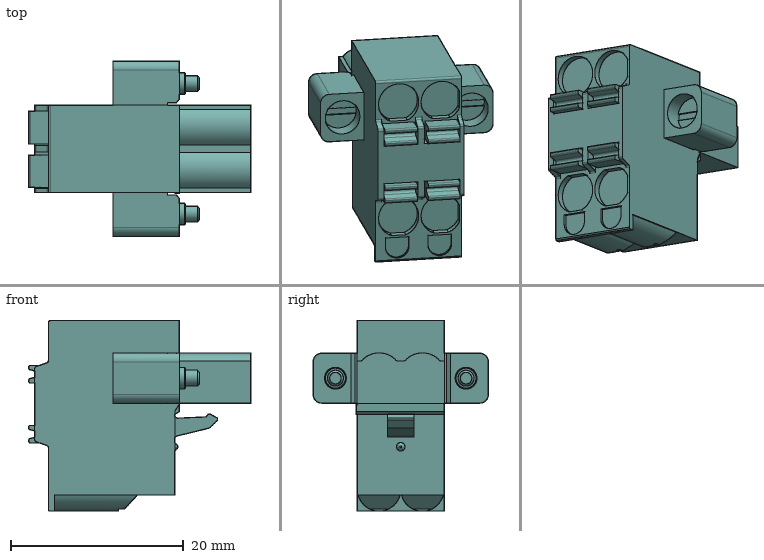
import cadquery as cq


HALF_WIDTH = 5.07
HEIGHT = 22.1
FACE_X = 2.26
NOSE_X = 0.7
BACK_X = 17.45
LOWER_BACK_X = 16.92
UNDERSIDE_Z = 1.85
FOOT_PLATE_X = 3.0
TOP_EDGE_RADIUS = 0.25
BOTTOM_BEVEL_HEIGHT = 0.18
BOTTOM_BEVEL_RUN = 0.08
POLE_PITCH = 5.02
POLES_Y = (POLE_PITCH / 2, -POLE_PITCH / 2)

NOSE_MID_Z = 12.4
NOSE_BASE_HALF_HEIGHT = 4.85
NOSE_FRONT_HALF_HEIGHT = 4.3
NOSE_EDGE_RADIUS = 0.25
LEVER_HEIGHT = 2.05
LEVER_OUTER = 4.5
LEVER_SLOT_CLEARANCE = 0.13
LEVER_GROOVE_X = 1.29
PRONG_TIP_RADIUS = 0.18
PRONG_ROOT = 0.75
PRONG_TIP = 0.5
LEVER_Y_RANGES = ((0.55, 4.37), (-4.48, -0.72))
SLOT_Y_RANGES = ((0.39, 4.37), (-4.58, -0.39))

ENTRY_RADIUS = 2.37
ENTRY_DEPTH = 0.93
ENTRY_SHIFT_Y = -0.15
ENTRY_LIMIT_Y = -4.8
UPPER_ENTRY_Z = 19.3
UPPER_ENTRY_FLAT_Z = 17.15
LOWER_ENTRY_Z = 5.38
LOWER_ENTRY_FLATS_Z = (3.16, 7.5)
TEST_RADIUS = 1.4
TEST_TOP_Z = 2.9
TEST_BOTTOM_Z = 0.39
TEST_DEPTH = 0.39

LOBE_RADIUS = POLE_PITCH / 2
LOBE_END_X = 12.58
LOBE_STEP_X = 11.05
LOBE_BOTTOM_X = 10.42
LOBE_STEP_Z = 0.23

PLUG_END_X = 25.72
PLUG_BOTTOM_Z = 12.5
PLUG_SHOULDER_Z = 17.39
PLUG_TOP_Z = 18.35
PLUG_LOBE_HALF_WIDTH = 2.05

FLANGE_X = 9.75
FLANGE_OUTER_Y = 10.15
FLANGE_TOP_Z = 18.3
FLANGE_CORNER_RADIUS = 1.03
FLANGE_GAP_X = 16.08
FLANGE_GAP_Y = 5.32
FLANGE_CHAMFER_X = 17.1
FLANGE_CHAMFER_Y = 5.74

SCREW_Y = 7.55
SCREW_Z = (PLUG_BOTTOM_Z + FLANGE_TOP_Z) / 2
SCREW_HEAD_RADIUS = 2.03
SCREW_HEAD_DEPTH = 2.25
DRIVER_SLOT_WIDTH = 0.77
DRIVER_SLOT_DEPTH = 0.25
COLLAR_RADIUS = 1.25
COLLAR_END_X = 18.13
COLLAR_CHAMFER = 0.1
SHANK_RADIUS = 0.93
SHANK_END_X = 19.78
SHANK_CHAMFER = 0.25

STEP_LOW_Z = 11.21
STEP_HIGH_Z = 11.52
PAD_BACK_Z = 11.57
PAD_TOP_Z = 12.37
PAD_THICKNESS = 0.1
LATCH_WIDTH = 3.09
LATCH_TOP_Z = 10.93
LATCH_ROOT_Z = 8.56
LATCH_ROOT_FLARE = 0.28
LATCH_HOOK_X = 20.78
LATCH_HOOK_Z = 11.25
LATCH_HOOK_RAMP = 0.25
LATCH_HOOK_FLAT = 0.28
LATCH_TIP_X = 21.9
LATCH_TIP_Z = 10.78
LATCH_TIP_HEIGHT = 0.23
LATCH_KNEE_X = 20.94
LATCH_KNEE_Z = 9.62
KNOB_Z = 7.45
KNOB_RADIUS = 0.5
KNOB_TIP_RADIUS = 0.1
KNOB_HEIGHT = 0.35


def box(x_range, y_range, z_range):
    size = [high - low for low, high in (x_range, y_range, z_range)]
    corner = (x_range[0], y_range[0], z_range[0])
    return cq.Workplane("XY").box(*size, centered=False).translate(corner)


def side_prism(points, y_range):
    """Extrude a closed XZ outline across a range of Y."""
    low, high = y_range
    return cq.Workplane("XZ", origin=(0, high, 0)).polyline(points).close().extrude(high - low)


def x_cylinder(radius, x_range, y, z):
    start, end = x_range
    return cq.Workplane("YZ", origin=(start, y, z)).circle(radius).extrude(end - start)


def cross_edge(x, z):
    """Select the edge that runs along Y through (x, z)."""
    margin = 0.013
    low_corner = (x - margin, -margin, z - margin)
    high_corner = (x + margin, margin, z + margin)
    return cq.selectors.BoxSelector(low_corner, high_corner)


def make_housing():
    upper_nose = [
        (FACE_X, NOSE_MID_Z + NOSE_BASE_HALF_HEIGHT),
        (NOSE_X, NOSE_MID_Z + NOSE_FRONT_HALF_HEIGHT),
    ]
    lower_nose = [(x, 2 * NOSE_MID_Z - z) for x, z in reversed(upper_nose)]
    outline = [
        (FACE_X, HEIGHT),
        *upper_nose,
        *lower_nose,
        (FACE_X, BOTTOM_BEVEL_HEIGHT),
        (FACE_X + BOTTOM_BEVEL_RUN, 0),
        (FOOT_PLATE_X, 0),
        (FOOT_PLATE_X, UNDERSIDE_Z),
        (LOWER_BACK_X, UNDERSIDE_Z),
        (LOWER_BACK_X, STEP_LOW_Z),
        (BACK_X, STEP_HIGH_Z),
        (BACK_X, HEIGHT),
    ]
    return (
        side_prism(outline, (-HALF_WIDTH, HALF_WIDTH))
        .edges(cross_edge(FACE_X, HEIGHT))
        .fillet(TOP_EDGE_RADIUS)
        .edges(cross_edge(FACE_X, upper_nose[0][1]) + cross_edge(FACE_X, lower_nose[-1][1]))
        .fillet(NOSE_EDGE_RADIUS)
        .edges(cross_edge(NOSE_X, upper_nose[1][1]) + cross_edge(NOSE_X, lower_nose[0][1]))
        .fillet(NOSE_EDGE_RADIUS)
    )


def make_foot_lobes():
    limits = side_prism(
        [
            (FOOT_PLATE_X, 0),
            (FOOT_PLATE_X, UNDERSIDE_Z),
            (LOBE_END_X, UNDERSIDE_Z),
            (LOBE_STEP_X, LOBE_STEP_Z),
            (LOBE_BOTTOM_X, LOBE_STEP_Z),
            (LOBE_BOTTOM_X, 0),
        ],
        (-HALF_WIDTH, HALF_WIDTH),
    )
    lobes = cq.Workplane("XY")
    for y in POLES_Y:
        lobes = lobes.union(x_cylinder(LOBE_RADIUS, (FOOT_PLATE_X, LOBE_END_X), y, LOBE_RADIUS))
    return lobes.intersect(limits)


def make_lever_slots():
    """Openings through the nose that expose the levers, above and below."""
    inner = LEVER_OUTER - LEVER_HEIGHT - LEVER_SLOT_CLEARANCE
    outer = NOSE_BASE_HALF_HEIGHT + NOSE_EDGE_RADIUS
    slots = cq.Workplane("XY")
    for y_range in SLOT_Y_RANGES:
        for low, high in ((inner, outer), (-outer, -inner)):
            z_range = (NOSE_MID_Z + low, NOSE_MID_Z + high)
            slots = slots.union(box((0, FACE_X), y_range, z_range))
    return slots


def make_lever(y_range, bottom_z):
    """Lever end with two tapered prongs and a round groove between them."""
    low, high = y_range
    half = LEVER_HEIGHT / 2
    tip_gap = half - PRONG_TIP
    root_gap = half - PRONG_ROOT
    root_x = LEVER_GROOVE_X - root_gap
    return (
        cq.Workplane("XZ", origin=(0, high, bottom_z + half))
        .moveTo(FACE_X, half)
        .lineTo(0, half)
        .lineTo(0, tip_gap)
        .lineTo(root_x, root_gap)
        .threePointArc((LEVER_GROOVE_X, 0), (root_x, -root_gap))
        .lineTo(0, -tip_gap)
        .lineTo(0, -half)
        .lineTo(FACE_X, -half)
        .close()
        .extrude(high - low)
        .faces("<X")
        .edges("|Y")
        .fillet(PRONG_TIP_RADIUS)
    )


def make_wire_entries():
    x_range = (FACE_X, FACE_X + ENTRY_DEPTH)
    y_range = (ENTRY_LIMIT_Y, HALF_WIDTH)
    upper_limits = box(x_range, y_range, (UPPER_ENTRY_FLAT_Z, HEIGHT))
    lower_limits = box(x_range, y_range, LOWER_ENTRY_FLATS_Z)
    entries = cq.Workplane("XY")
    for pole_y in POLES_Y:
        y = pole_y + ENTRY_SHIFT_Y
        for z, limits in ((UPPER_ENTRY_Z, upper_limits), (LOWER_ENTRY_Z, lower_limits)):
            entries = entries.union(x_cylinder(ENTRY_RADIUS, x_range, y, z).intersect(limits))
    return entries


def make_test_openings():
    """D-shaped openings with a flat top and a round bottom."""
    centre_z = TEST_BOTTOM_Z + TEST_RADIUS
    x_range = (FACE_X, FACE_X + TEST_DEPTH)
    openings = cq.Workplane("XY")
    for y in POLES_Y:
        upper = box(x_range, (y - TEST_RADIUS, y + TEST_RADIUS), (centre_z, TEST_TOP_Z))
        openings = openings.union(upper)
        lower_limit = box(x_range, (-HALF_WIDTH, HALF_WIDTH), (0, centre_z))
        openings = openings.union(x_cylinder(TEST_RADIUS, x_range, y, centre_z).intersect(lower_limit))
    return openings


def make_plug():
    outline = (
        cq.Workplane("YZ", origin=(BACK_X, 0, 0))
        .moveTo(-HALF_WIDTH, PLUG_BOTTOM_Z)
        .lineTo(HALF_WIDTH, PLUG_BOTTOM_Z)
        .lineTo(HALF_WIDTH, PLUG_SHOULDER_Z)
    )
    for y in POLES_Y:
        outline = outline.lineTo(y + PLUG_LOBE_HALF_WIDTH, PLUG_SHOULDER_Z)
        outline = outline.threePointArc((y, PLUG_TOP_Z), (y - PLUG_LOBE_HALF_WIDTH, PLUG_SHOULDER_Z))
    outline = outline.lineTo(-HALF_WIDTH, PLUG_SHOULDER_Z)
    return outline.close().extrude(PLUG_END_X - BACK_X)


def make_flange():
    """Screw flange on the +Y side, with its captive screw."""
    outline = [
        (FLANGE_X, HALF_WIDTH),
        (FLANGE_X, FLANGE_OUTER_Y),
        (BACK_X, FLANGE_OUTER_Y),
        (BACK_X, FLANGE_CHAMFER_Y),
        (FLANGE_CHAMFER_X, FLANGE_GAP_Y),
        (FLANGE_GAP_X, FLANGE_GAP_Y),
        (FLANGE_GAP_X, HALF_WIDTH),
    ]
    flange = (
        cq.Workplane("XY", origin=(0, 0, PLUG_BOTTOM_Z))
        .polyline(outline)
        .close()
        .extrude(FLANGE_TOP_Z - PLUG_BOTTOM_Z)
        .edges("|X and >Y")
        .fillet(FLANGE_CORNER_RADIUS)
    )

    head_x = FLANGE_X + SCREW_HEAD_DEPTH
    head_hole = x_cylinder(SCREW_HEAD_RADIUS, (FLANGE_X, head_x), SCREW_Y, SCREW_Z)
    slot_blank = box(
        (head_x, head_x + DRIVER_SLOT_DEPTH),
        (SCREW_Y - SCREW_HEAD_RADIUS, SCREW_Y + SCREW_HEAD_RADIUS),
        (SCREW_Z - DRIVER_SLOT_WIDTH / 2, SCREW_Z + DRIVER_SLOT_WIDTH / 2),
    )
    slot_limit = x_cylinder(SCREW_HEAD_RADIUS, (head_x, BACK_X), SCREW_Y, SCREW_Z)
    flange = flange.cut(head_hole).cut(slot_blank.intersect(slot_limit))

    collar = x_cylinder(COLLAR_RADIUS, (BACK_X, COLLAR_END_X), SCREW_Y, SCREW_Z)
    collar = collar.faces(">X").chamfer(COLLAR_CHAMFER)
    shank = x_cylinder(SHANK_RADIUS, (BACK_X, SHANK_END_X), SCREW_Y, SCREW_Z)
    shank = shank.faces(">X").chamfer(SHANK_CHAMFER)
    return flange.union(collar).union(shank)


def make_side_pad():
    """Thin raised patch on the -Y side, beside the step in the back."""
    outline = [
        (LOWER_BACK_X, STEP_LOW_Z),
        (LOWER_BACK_X, PAD_BACK_Z),
        (BACK_X, PAD_TOP_Z),
        (BACK_X, STEP_HIGH_Z),
    ]
    return side_prism(outline, (-HALF_WIDTH - PAD_THICKNESS, -HALF_WIDTH))


def make_latch():
    """Hooked latch arm reaching out below the plug."""
    lead_out_x = LOWER_BACK_X + LATCH_ROOT_FLARE
    outline = [
        (LOWER_BACK_X, LATCH_TOP_Z),
        (lead_out_x, LATCH_TOP_Z - LATCH_ROOT_FLARE / 2),
        (LATCH_HOOK_X - LATCH_HOOK_RAMP, LATCH_TOP_Z),
        (LATCH_HOOK_X, LATCH_HOOK_Z),
        (LATCH_HOOK_X + LATCH_HOOK_FLAT, LATCH_HOOK_Z),
        (LATCH_TIP_X, LATCH_TIP_Z),
        (LATCH_TIP_X, LATCH_TIP_Z - LATCH_TIP_HEIGHT),
        (LATCH_KNEE_X, LATCH_KNEE_Z),
        (lead_out_x, LATCH_ROOT_Z + LATCH_ROOT_FLARE / 2),
        (LOWER_BACK_X, LATCH_ROOT_Z),
    ]
    return side_prism(outline, (-LATCH_WIDTH / 2, LATCH_WIDTH / 2))


def make_knob():
    """Small conical knob on the lower back."""
    cone = cq.Solid.makeCone(
        KNOB_RADIUS,
        KNOB_TIP_RADIUS,
        KNOB_HEIGHT,
        cq.Vector(LOWER_BACK_X, 0, KNOB_Z),
        cq.Vector(1, 0, 0),
    )
    return cq.Workplane(cone)


flange = make_flange()

result = (
    make_housing()
    .union(make_foot_lobes())
    .cut(make_lever_slots())
    .cut(make_wire_entries())
    .cut(make_test_openings())
    .union(make_plug())
    .union(flange)
    .union(flange.mirror("XZ"))
    .union(make_side_pad())
    .union(make_latch())
    .union(make_knob())
)

for lever_y_range in LEVER_Y_RANGES:
    result = result.union(make_lever(lever_y_range, NOSE_MID_Z + LEVER_OUTER - LEVER_HEIGHT))
    result = result.union(make_lever(lever_y_range, NOSE_MID_Z - LEVER_OUTER))